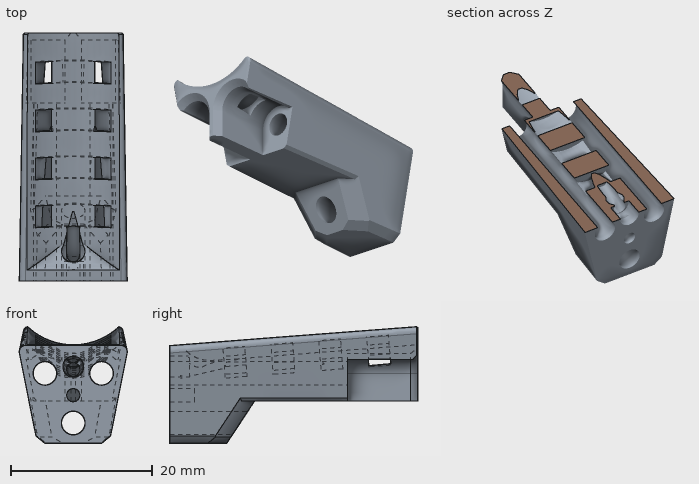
import cadquery as cq
import math

LENGTH = 35.0
HEIGHT = 16.52
WIDTH = 15.25
FRONT_HEIGHT = 13.8
TOP_SLOPE = (HEIGHT - FRONT_HEIGHT) / LENGTH

WIDEST_Z = 12.85
SIDE_DRAFT = 0.2
REAR_INSET = 1.12
NOSE_LENGTH = 8.05
STEP_Y = 11.97
STEP_Z = 5.95
BOTTOM_CHAMFER = 1.05
SLOPE_CHAMFER = 1.92
STEP_CHAMFER = 0.42
RIM_RADIUS = 0.88
REAR_TOP_CHAMFER = 0.2

TROUGH_RADIUS = 9.4
REAR_FLOOR_Z = 13.93
FRONT_FLOOR_Z = REAR_FLOOR_Z - TOP_SLOPE * LENGTH
FRONT_WALL = 1.55
TROUGH_END_Y = 6.3

TUNNEL_OUTER_RADIUS = 5.5
TUNNEL_INNER_RADIUS = 3.9
TUNNEL_AXIS_ABOVE_FLOOR = 2.9
TUNNEL_LENGTH = 3.08
TUNNEL_COUNT = 4
TUNNEL_PITCH = 6.75
FIRST_TUNNEL_Y = 7.42

SCREW_DIAMETER = 3.3
UPPER_SCREW_X = 4.0
UPPER_SCREW_Z = 9.87
LOWER_SCREW_Z = 2.87
HEAD_DIAMETER = 5.6
HEAD_SEAT_Y = 25.1
HEAD_FLARE = 0.88
HEAD_FLARE_LENGTH = 1.0

PASSAGE_Z = 10.8
PASSAGE_DIAMETER = 2.95
PASSAGE_DEPTH = 2.8
PILOT_DIAMETER = 1.85
PILOT_START_Z = 10.08
PILOT_ANGLE = 13.0
PILOT_LENGTH = 6.48
BLIND_HOLE_Z = 6.8
BLIND_HOLE_DEPTH = 3.5
FLARE_Z = 12.08
FLARE_RADIUS = 1.65
FLARE_START_Y = 4.2
FLARE_TIP_Y = 9.8
FLARE_TIP_RADIUS = 0.18

OVERCUT = 7.0


def floor_z(y):
    """Height of the lowest line of the trough at a given Y."""
    return FRONT_FLOOR_Z + TOP_SLOPE * y


def section_plane(y):
    """Vertical plane facing +Y, with local x along -X and local y along Z."""
    return cq.Workplane(cq.Plane((0, y, 0), xDir=(-1, 0, 0), normal=(0, 1, 0)))


def tilted_plane(y, height_above_floor):
    """Plane square to the sloping trough axis."""
    origin = (0, y, floor_z(y) + height_above_floor)
    return cq.Workplane(cq.Plane(origin, xDir=(-1, 0, 0), normal=(0, 1, TOP_SLOPE)))


def bore(x, z, diameter, depth):
    """Round cutter starting at the front face."""
    return section_plane(0).center(-x, z).circle(diameter / 2).extrude(depth)


def make_body():
    side_outline = [
        (0, 0), (NOSE_LENGTH, 0), (STEP_Y, STEP_Z), (LENGTH, STEP_Z),
        (LENGTH, HEIGHT), (0, FRONT_HEIGHT),
    ]
    body = cq.Workplane("YZ").polyline(side_outline).close().extrude(WIDTH, both=True)

    def drafted_section(y):
        inset = REAR_INSET * y / LENGTH
        bottom = WIDTH / 2 - SIDE_DRAFT * WIDEST_Z - inset
        top = bottom + SIDE_DRAFT * HEIGHT
        points = [(-bottom, 0), (bottom, 0), (top, HEIGHT), (-top, HEIGHT)]
        return section_plane(y).polyline(points).close().wires().val()

    envelope = cq.Solid.makeLoft([drafted_section(0), drafted_section(LENGTH)], True)
    body = body.intersect(cq.Workplane(envelope))
    return chamfer_underside(body)


def chamfer_underside(body):
    """Chamfer the two side edges of the nose, slope and step."""
    nose = cq.selectors.BoxSelector((-WIDTH, 0.35, -0.35), (WIDTH, NOSE_LENGTH - 0.35, 0.35))
    slope = cq.selectors.BoxSelector(
        (-WIDTH, NOSE_LENGTH, 0.35), (WIDTH, STEP_Y, STEP_Z - 0.35))
    step = cq.selectors.BoxSelector(
        (-WIDTH, STEP_Y + 0.35, STEP_Z - 0.35), (WIDTH, LENGTH - 0.35, STEP_Z + 0.35))
    across = cq.selectors.ParallelDirSelector(cq.Vector(1, 0, 0))
    body = body.edges(slope - across).chamfer(SLOPE_CHAMFER)
    body = body.edges(nose - across).chamfer(BOTTOM_CHAMFER)
    return body.edges(step - across).chamfer(STEP_CHAMFER)


def make_trough():
    cylinder = tilted_plane(-OVERCUT, TROUGH_RADIUS).circle(TROUGH_RADIUS)
    cylinder = cylinder.extrude(LENGTH + 2 * OVERCUT)
    run = TROUGH_END_Y - FRONT_WALL
    rise = FRONT_HEIGHT - FRONT_FLOOR_Z
    radius = (run ** 2 + rise ** 2) / (2 * rise)
    half_angle = math.atan(rise / run)
    wall_top = (FRONT_WALL, FRONT_HEIGHT + TOP_SLOPE * FRONT_WALL)
    arc_mid = (
        TROUGH_END_Y - radius * math.sin(half_angle),
        floor_z(TROUGH_END_Y - radius * math.sin(half_angle)) + radius * (1 - math.cos(half_angle)),
    )
    rear_y = LENGTH + OVERCUT
    reach = (
        cq.Workplane("YZ")
        .moveTo(*wall_top)
        .threePointArc(arc_mid, (TROUGH_END_Y, floor_z(TROUGH_END_Y)))
        .lineTo(TROUGH_END_Y, 0)
        .lineTo(rear_y, 0)
        .lineTo(rear_y, HEIGHT + OVERCUT)
        .lineTo(FRONT_WALL, HEIGHT + OVERCUT)
        .close()
        .extrude(WIDTH, both=True)
    )
    return cylinder.intersect(reach)


def make_tunnel(y):
    return (
        tilted_plane(y, TUNNEL_AXIS_ABOVE_FLOOR)
        .circle(TUNNEL_OUTER_RADIUS)
        .circle(TUNNEL_INNER_RADIUS)
        .extrude(TUNNEL_LENGTH)
    )


def make_head_clearance():
    """Round-topped clearance on the +X side, open outward and downward."""

    def outline(y, radius):
        arc_mid = (-UPPER_SCREW_X, UPPER_SCREW_Z + radius)
        inner = -UPPER_SCREW_X + radius
        outer = -UPPER_SCREW_X - radius
        return (
            section_plane(y)
            .moveTo(inner, 0)
            .lineTo(inner, UPPER_SCREW_Z)
            .threePointArc(arc_mid, (outer, UPPER_SCREW_Z))
            .lineTo(outer, 0)
            .close()
        )

    radius = HEAD_DIAMETER / 2
    clearance = outline(HEAD_SEAT_Y, radius).extrude(LENGTH - HEAD_SEAT_Y)
    small = outline(LENGTH - HEAD_FLARE_LENGTH, radius).wires().val()
    large = outline(LENGTH, radius + HEAD_FLARE).wires().val()
    clearance = clearance.union(cq.Workplane(cq.Solid.makeLoft([small, large], True)))
    outward = cq.Workplane("XY").box(
        WIDTH, LENGTH - HEAD_SEAT_Y, UPPER_SCREW_Z + radius * math.sqrt(0.5), centered=False)
    return clearance.union(outward.translate((UPPER_SCREW_X, HEAD_SEAT_Y, 0)))


def make_passage():
    """Front bore, rising pilot hole and tapered opening in the trough."""
    rise = math.radians(PILOT_ANGLE)
    direction = cq.Vector(0, math.cos(rise), math.sin(rise))
    start = cq.Vector(0, PASSAGE_DEPTH / 2, PILOT_START_Z)
    pilot = cq.Solid.makeCylinder(PILOT_DIAMETER / 2, PILOT_LENGTH, start, direction)
    center = cq.Vector(0, FLARE_START_Y, FLARE_Z)
    cone = cq.Solid.makeCone(
        FLARE_RADIUS, FLARE_TIP_RADIUS, FLARE_TIP_Y - FLARE_START_Y, center, cq.Vector(0, 1, 0))
    ball = cq.Workplane("XY").sphere(FLARE_RADIUS).translate(center)
    passage = bore(0, PASSAGE_Z, PASSAGE_DIAMETER, PASSAGE_DEPTH)
    return passage.union(cq.Workplane(pilot)).union(ball.union(cq.Workplane(cone)))


def round_rim(body):
    """Round the long top side edges and ease the rear top edge."""
    rim = cq.selectors.BoxSelector(
        (-WIDTH, 0.35, FRONT_HEIGHT), (WIDTH, LENGTH - 0.35, HEIGHT))
    body = body.edges(rim).fillet(RIM_RADIUS)
    return body.faces(">Y").edges(">Z").chamfer(REAR_TOP_CHAMFER)


result = round_rim(make_body()).cut(make_trough())

for index in range(TUNNEL_COUNT):
    result = result.cut(make_tunnel(FIRST_TUNNEL_Y + index * TUNNEL_PITCH))

for screw_x, screw_z in (
    (-UPPER_SCREW_X, UPPER_SCREW_Z),
    (UPPER_SCREW_X, UPPER_SCREW_Z),
    (0, LOWER_SCREW_Z),
):
    result = result.cut(bore(screw_x, screw_z, SCREW_DIAMETER, LENGTH))

head_clearance = make_head_clearance()
result = result.cut(head_clearance).cut(head_clearance.mirror("YZ"))

result = result.cut(bore(0, BLIND_HOLE_Z, PILOT_DIAMETER, BLIND_HOLE_DEPTH))
result = result.cut(make_passage())